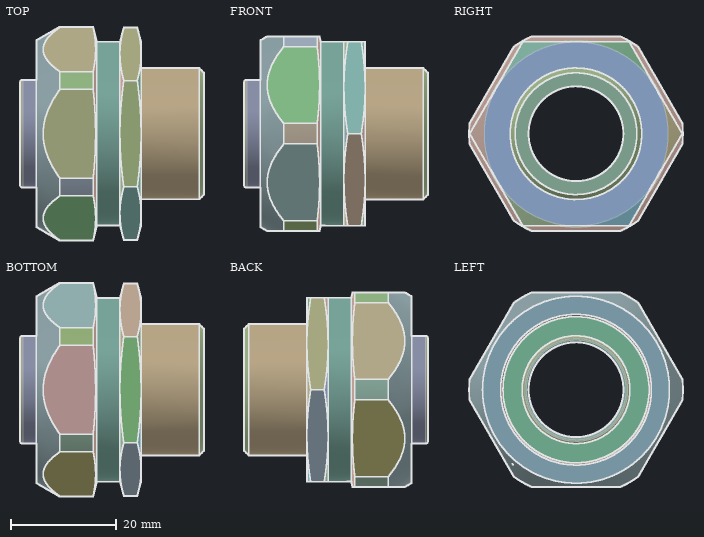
import cadquery as cq
import math

nut_front = 3.15
nut_back = 14.55
locknut_front = 19.0
locknut_back = 23.02
total_length = 35.0

tube_diameter = 20.5
bore_diameter = 18.0
tube_rim_fillet = 0.5
bore_rim_fillet = 0.5

nut_across_flats = 37.0
nut_corner_diameter = 40.7
nut_face_diameter = 35.55
nut_front_slope = math.radians(30)
nut_back_length = 0.65
cavity_diameter = 27.8
cavity_rim_chamfer = 0.45
cavity_floor = 17.1

collar_diameter = 35.0
locknut_slope = math.radians(15)
spigot_diameter = 25.0
spigot_chamfer = 0.95


def cylinder(diameter, start, end):
    """Cylinder on the X axis between two positions."""
    return cq.Workplane("YZ", origin=(start, 0, 0)).circle(diameter / 2).extrude(end - start)


def hexagon(across_flats, start, end):
    """Hexagonal prism on the X axis with corners on +Y and -Y."""
    across_corners = across_flats / math.cos(math.radians(30))
    return cq.Workplane("YZ", origin=(start, 0, 0)).polygon(6, across_corners).extrude(end - start)


def revolved(points):
    """Solid of revolution about X from (position, radius) points."""
    return cq.Workplane("XY").polyline(points).close().revolve(360, (0, 0, 0), (1, 0, 0))


def make_nut():
    face_radius = nut_face_diameter / 2
    corner_radius = nut_corner_diameter / 2
    front_length = (corner_radius - face_radius) / math.tan(nut_front_slope)
    envelope = revolved([
        (nut_front, 0),
        (nut_front, face_radius),
        (nut_front + front_length, corner_radius),
        (nut_back - nut_back_length, corner_radius),
        (nut_back, face_radius),
        (nut_back, 0),
    ])
    return hexagon(nut_across_flats, nut_front, nut_back).intersect(envelope)


def make_cavity():
    """Blind cavity around the tube, flared at the mouth."""
    radius = cavity_diameter / 2
    return revolved([
        (nut_front, 0),
        (nut_front, radius + cavity_rim_chamfer),
        (nut_front + cavity_rim_chamfer, radius),
        (cavity_floor, radius),
        (cavity_floor, 0),
    ])


def make_tube():
    tube = cylinder(tube_diameter, 0, cavity_floor).faces("<X").edges().fillet(tube_rim_fillet)
    tube = tube.cut(cylinder(bore_diameter, 0, cavity_floor))
    inner_rim = tube.faces("<X").edges(cq.selectors.RadiusNthSelector(0))
    return inner_rim.fillet(bore_rim_fillet)


def make_locknut():
    face_radius = collar_diameter / 2
    corner_radius = face_radius / math.cos(math.radians(30))
    bevel_length = (corner_radius - face_radius) * math.tan(locknut_slope)
    envelope = revolved([
        (locknut_front, 0),
        (locknut_front, face_radius),
        (locknut_front + bevel_length, corner_radius),
        (locknut_back - bevel_length, corner_radius),
        (locknut_back, face_radius),
        (locknut_back, 0),
    ])
    return hexagon(collar_diameter, locknut_front, locknut_back).intersect(envelope)


collar = cylinder(collar_diameter, nut_back, locknut_front)
spigot = cylinder(spigot_diameter, locknut_back, total_length).faces(">X").chamfer(spigot_chamfer)

body = make_nut().union(collar).union(make_locknut()).union(spigot)
body = body.cut(make_cavity()).cut(cylinder(bore_diameter, nut_front, total_length))
result = body.union(make_tube())